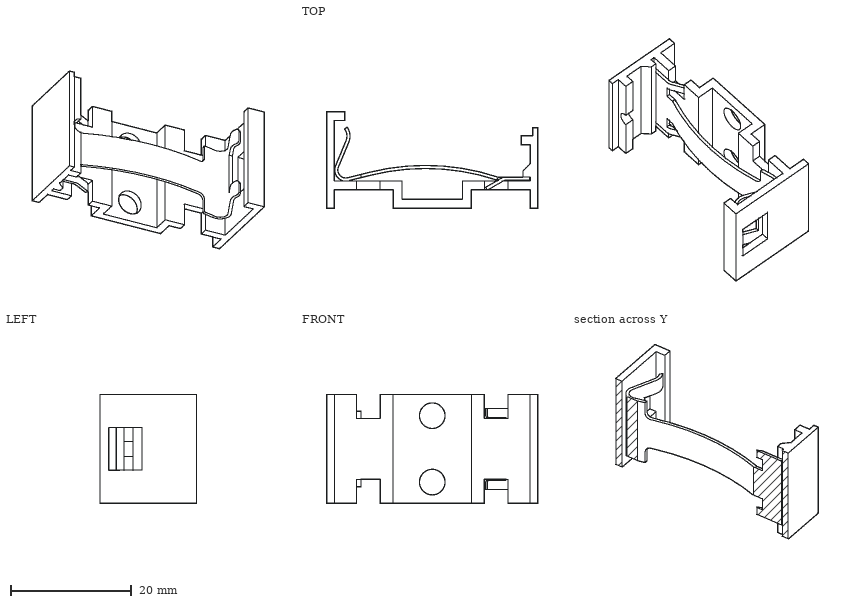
import cadquery as cq
import math

length = 35.03
depth = 16.03
height = 18.03
half_length = length / 2
half_height = height / 2

wall = 1.3
web_bottom = 3.03
web_thickness = 1.5
web_top = web_bottom + web_thickness
channel_width = 13.0
channel_wall = 1.5

lip_reach = 3.05
lip_thickness = 1.5
window_bottom = 9.03
window_top = depth - lip_thickness
window_half_height = 3.53

right_wall_top = 13.35
rim_thickness = 0.9
ledge_reach = 2.8
ledge_bottom = 10.5
ledge_top = 12.05
ledge_groove_radius = 1.25
retainer_reach = 2.5
retainer_face_top = 6.17
retainer_top = retainer_face_top + retainer_reach - wall

hole_diameter = 4.2
hole_offset = 5.5
notch_width = 3.9
notch_depth = 3.95
notch_from_end = 5.0
notch_center = half_length - notch_from_end - notch_width / 2

sheet = 0.55
half_sheet = sheet / 2
spring_clearance = 0.1
seat_overlap = 0.04
flat_bottom = web_top + spring_clearance
flat_top = flat_bottom + sheet
flat_middle = flat_bottom + half_sheet
flat_end_gap = 0.05
flat_end = half_length - wall - flat_end_gap
bow_radius = 37.7
bow_apex_x = -1.13
bow_apex_y = 6.85
bend_x = -half_length + 3.19
bend_radius = 1.57
leg_angle = math.radians(22.6)
leg_length = 4.5
tip_radius = 2.23
tip_angle = math.radians(37)
tip_rounding = 0.5

hook_half_width = 6.27
bow_half_width = 3.0
shoulder_x = -half_length + 5.75
shoulder_fillet = 1.0
tab_inner = 5.19
tab_outer = 6.73

tab_angle = math.radians(30)
tab_length = 3.0
tab_bend_x = half_length - 5.3
tab_bend_radius = 1.0
tab_corner_rounding = 0.4


def polar(center, radius, angle):
    return (center[0] + radius * math.cos(angle), center[1] + radius * math.sin(angle))


def block(x_range, y_range, z_range):
    """Box spanning the given coordinate ranges."""
    sizes = [r[1] - r[0] for r in (x_range, y_range, z_range)]
    corner = (x_range[0], y_range[0], z_range[0])
    return cq.Workplane("XY").box(*sizes, centered=False).translate(corner)


def prism(outline, z_low, z_high):
    """Extrude a closed XY outline between two Z levels."""
    return outline.extrude(z_high - z_low).translate((0, 0, z_low))


def make_body():
    left = -half_length
    right = half_length
    channel = channel_width / 2
    channel_inside = channel - channel_wall
    ledge_x = right - ledge_reach
    retainer_x = right - retainer_reach
    outline = cq.Workplane("XY").polyline([
        (left, 0),
        (left + wall, 0),
        (left + wall, web_bottom),
        (-channel, web_bottom),
        (-channel, 0),
        (channel, 0),
        (channel, web_bottom),
        (right - wall, web_bottom),
        (right - wall, 0),
        (right, 0),
        (right, right_wall_top),
        (right - rim_thickness, right_wall_top),
        (right - rim_thickness, ledge_top),
        (ledge_x, ledge_top),
        (ledge_x, ledge_bottom),
        (right - wall, ledge_bottom),
        (right - wall, retainer_top),
        (retainer_x, retainer_face_top),
        (retainer_x, flat_top),
        (right - wall, flat_top),
        (right - wall, web_top),
        (channel_inside, web_top),
        (channel_inside, channel_wall),
        (-channel_inside, channel_wall),
        (-channel_inside, web_top),
        (left + wall, web_top),
        (left + wall, depth - lip_thickness),
        (left + lip_reach, depth - lip_thickness),
        (left + lip_reach, depth),
        (left, depth),
    ]).close()
    body = prism(outline, -half_height, half_height)
    body = body.cut(mounting_holes()).cut(web_notches())
    return body.cut(wall_window()).cut(ledge_groove())


def mounting_holes():
    centers = [(0, -hole_offset), (0, hole_offset)]
    holes = cq.Workplane("XZ").pushPoints(centers).circle(hole_diameter / 2)
    return holes.extrude(-web_top)


def web_notches():
    centers = [(x, z) for x in (-notch_center, notch_center) for z in (-half_height, half_height)]
    notches = cq.Workplane("XZ", origin=(0, web_bottom, 0)).pushPoints(centers)
    return notches.rect(notch_width, 2 * notch_depth).extrude(-web_thickness)


def wall_window():
    return block(
        (-half_length, -half_length + wall),
        (window_bottom, window_top),
        (-window_half_height, window_half_height),
    )


def ledge_groove():
    """Half-round groove across the middle of the ledge face."""
    plane = cq.Workplane("XZ", origin=(half_length - ledge_reach, ledge_bottom, 0))
    return plane.circle(ledge_groove_radius).extrude(ledge_bottom - ledge_top)


def hook_and_bow_outline():
    """Profile from the hook tip, down the leg, round the bend and along the bow to the flat."""
    bow_center = (bow_apex_x, bow_apex_y - bow_radius)
    bend_center = (bend_x, web_top + bend_radius + half_sheet - seat_overlap)
    center_run = bend_center[0] - bow_center[0]
    center_rise = bend_center[1] - bow_center[1]

    leg_normal = math.pi - leg_angle
    leg_end = (
        bend_center[0] + leg_length * math.sin(leg_angle),
        bend_center[1] + leg_length * math.cos(leg_angle),
    )
    tip_center = polar(leg_end, bend_radius + tip_radius, leg_normal)

    center_distance = math.hypot(center_run, center_rise)
    center_angle = math.atan2(center_rise, center_run)
    bow_start_angle = center_angle - math.acos((bend_radius + bow_radius) / center_distance)
    bow_end_angle = math.asin((flat_middle - bow_center[1]) / bow_radius)
    bend_end_angle = bow_start_angle + math.pi

    def side(offset):
        """Points along one face of the sheet, from the hook tip to the end of the bow."""
        tip = tip_radius - offset
        bend = bend_radius + offset
        bow = bow_radius - offset
        return [
            polar(tip_center, tip, tip_angle),
            polar(tip_center, tip, (tip_angle - leg_angle) / 2),
            polar(tip_center, tip, -leg_angle),
            polar(bend_center, bend, leg_normal),
            polar(bend_center, bend, (leg_normal + bend_end_angle) / 2),
            polar(bend_center, bend, bend_end_angle),
            polar(bow_center, bow, bow_start_angle),
            polar(bow_center, bow, (bow_start_angle + bow_end_angle) / 2),
            polar(bow_center, bow, bow_end_angle),
        ]

    front_face = side(half_sheet)
    tip_point, tip_mid, leg_top, leg_low, bend_mid, bend_last, bow_first, bow_mid, bow_last = front_face
    outline = (
        cq.Workplane("XY")
        .moveTo(*tip_point)
        .threePointArc(tip_mid, leg_top)
        .lineTo(*leg_low)
        .threePointArc(bend_mid, bend_last)
        .lineTo(*bow_first)
        .threePointArc(bow_mid, bow_last)
    )
    back_face = side(-half_sheet)
    tip_point, tip_mid, leg_top, leg_low, bend_mid, bend_last, bow_first, bow_mid, bow_last = back_face
    outline = (
        outline.lineTo(*bow_last)
        .threePointArc(bow_mid, bow_first)
        .lineTo(*bend_last)
        .threePointArc(bend_mid, leg_low)
        .lineTo(*leg_top)
        .threePointArc(tip_mid, tip_point)
        .close()
    )
    tip_end = polar(tip_center, tip_radius, tip_angle)
    bow_end = polar(bow_center, bow_radius, bow_end_angle)
    return outline, tip_end, bow_end


def make_spring():
    outline, tip_end, bow_end = hook_and_bow_outline()
    spring = prism(outline, -hook_half_width, hook_half_width)

    spring = spring.cut(block(
        (-half_length, shoulder_x),
        (window_bottom, depth),
        (-window_half_height, window_half_height),
    ))
    for z in (window_half_height, hook_half_width):
        for corner_z in (-z, z):
            corner = cq.selectors.NearestToPointSelector((*tip_end, corner_z))
            spring = spring.edges(corner).fillet(tip_rounding)

    relief = block((shoulder_x, half_length), (0, depth), (bow_half_width, half_height))
    relief = relief.edges("|Y and <X and <Z").fillet(shoulder_fillet)
    spring = spring.cut(relief).cut(relief.mirror("XY"))

    center_flat = block((bow_end[0], flat_end), (flat_bottom, flat_top), (-bow_half_width, bow_half_width))
    end_flat = block((tab_bend_x, flat_end), (flat_bottom, flat_top), (-tab_outer, tab_outer))
    tab = make_tab()
    return spring.union(center_flat).union(end_flat).union(tab).union(tab.mirror("XY"))


def make_tab():
    """Upper tab: a rounded bend followed by a straight tongue sloping into the notch."""
    center = (tab_bend_x, flat_bottom - tab_bend_radius)
    outer = tab_bend_radius + sheet
    start = math.pi / 2
    end = start + tab_angle
    middle = (start + end) / 2
    tongue = (-tab_length * math.cos(tab_angle), -tab_length * math.sin(tab_angle))

    def tongue_end(radius):
        root = polar(center, radius, end)
        return (root[0] + tongue[0], root[1] + tongue[1])

    outline = (
        cq.Workplane("XY")
        .moveTo(*polar(center, outer, start))
        .threePointArc(polar(center, outer, middle), polar(center, outer, end))
        .lineTo(*tongue_end(outer))
        .lineTo(*tongue_end(tab_bend_radius))
        .lineTo(*polar(center, tab_bend_radius, end))
        .threePointArc(polar(center, tab_bend_radius, middle), polar(center, tab_bend_radius, start))
        .close()
    )
    tab = prism(outline, tab_inner, tab_outer)
    tip_middle = (tab_bend_radius + outer) / 2
    inner_corner = cq.selectors.NearestToPointSelector((*tongue_end(tip_middle), tab_inner))
    return tab.edges(inner_corner).fillet(tab_corner_rounding)


result = make_body().union(make_spring())